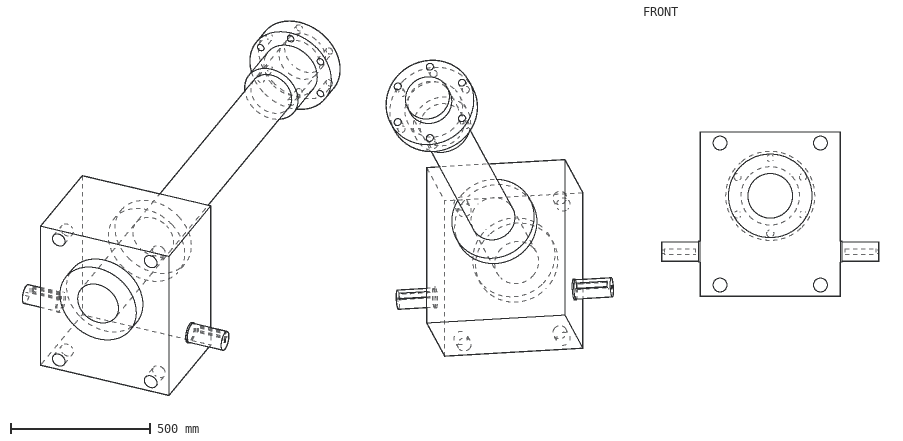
import cadquery as cq
import math


HOUSING_WIDTH = 505.0
HOUSING_DEPTH = 372.0
HOUSING_HEIGHT = 590.0
SCREW_AXIS_HEIGHT = 360.0
SHAFT_AXIS_HEIGHT = 160.0
BOSS_DIAMETER = 300.0
BOSS_LENGTH = 59.0
HOUSING_FRONT_Y = BOSS_LENGTH
HOUSING_CENTRE_Z = HOUSING_HEIGHT / 2 - SCREW_AXIS_HEIGHT

FIXING_HOLE_DIAMETER = 50.0
FIXING_HOLE_DEPTH = 74.0
FIXING_HOLE_SPACING_X = 360.0
FIXING_HOLE_SPACING_Z = 510.0
DRILL_POINT_ANGLE = 118

OVERALL_WIDTH = 780.0
SHAFT_DIAMETER = 70.0
SHAFT_AXIS_Y = HOUSING_FRONT_Y + HOUSING_DEPTH / 2
SHAFT_AXIS_Z = SHAFT_AXIS_HEIGHT - SCREW_AXIS_HEIGHT
COLLAR_DIAMETER = 75.0
COLLAR_LENGTH = 5.0
CENTRE_HOLE_DIAMETER = 11.8
CENTRE_HOLE_DEPTH = 11.0

KEY_LENGTH = 110.0
KEY_WIDTH = 20.0
KEY_HEIGHT = 13.0
KEY_PROJECTION = 5.0
KEY_END_GAP = 11.0

SCREW_DIAMETER = 160.0
SCREW_LENGTH = 1840.0

NUT_SLEEVE_DIAMETER = 210.0
NUT_SLEEVE_LENGTH = 171.0
NUT_FLANGE_DIAMETER = 320.0
NUT_FLANGE_THICKNESS = 80.0
SCREW_PROJECTION = 50.0
BOLT_CIRCLE_DIAMETER = 270.0
BOLT_HOLE_DIAMETER = 25.0
BOLT_HOLE_COUNT = 6
FIRST_BOLT_ANGLE = 30

X_AXIS = cq.Vector(1, 0, 0)
Y_AXIS = cq.Vector(0, 1, 0)
SIDES = (-1, 1)


def cylinder_along_y(diameter, start_y, length, x=0.0, z=0.0):
    solid = cq.Solid.makeCylinder(diameter / 2, length, cq.Vector(x, start_y, z), Y_AXIS)
    return cq.Workplane(obj=solid)


def shaft_cylinder(diameter, side, start_x, length):
    """Cylinder on the input shaft axis, running outwards from start_x on one side."""
    start = cq.Vector(side * start_x, SHAFT_AXIS_Y, SHAFT_AXIS_Z)
    return cq.Workplane(obj=cq.Solid.makeCylinder(diameter / 2, length, start, X_AXIS * side))


def make_fixing_hole(x, z):
    """Drilled hole with a conical bottom."""
    radius = FIXING_HOLE_DIAMETER / 2
    point_length = radius / math.tan(math.radians(DRILL_POINT_ANGLE / 2))
    bottom_y = HOUSING_FRONT_Y + FIXING_HOLE_DEPTH
    point = cq.Solid.makeCone(radius, 0, point_length, cq.Vector(x, bottom_y, z), Y_AXIS)
    return cylinder_along_y(FIXING_HOLE_DIAMETER, HOUSING_FRONT_Y, FIXING_HOLE_DEPTH, x, z).union(point)


def make_key(side):
    """Parallel key sunk into the +Y side of one shaft stub."""
    centre_x = OVERALL_WIDTH / 2 - KEY_END_GAP - KEY_LENGTH / 2
    top_y = SHAFT_AXIS_Y + SHAFT_DIAMETER / 2 + KEY_PROJECTION
    return cq.Workplane("XY").box(KEY_LENGTH, KEY_HEIGHT, KEY_WIDTH).translate(
        (side * centre_x, top_y - KEY_HEIGHT / 2, SHAFT_AXIS_Z)
    )


def add_shaft_stub(housing, side):
    """Collar and shaft stub with its end centre hole and keyway."""
    face_x = HOUSING_WIDTH / 2
    end_x = OVERALL_WIDTH / 2
    housing = housing.union(shaft_cylinder(COLLAR_DIAMETER, side, face_x, COLLAR_LENGTH))
    housing = housing.union(shaft_cylinder(SHAFT_DIAMETER, side, face_x, end_x - face_x))
    centre_hole_start = end_x - CENTRE_HOLE_DEPTH
    housing = housing.cut(shaft_cylinder(CENTRE_HOLE_DIAMETER, side, centre_hole_start, CENTRE_HOLE_DEPTH))
    return housing.cut(make_key(side))


def make_housing():
    housing = cq.Workplane("XY").box(HOUSING_WIDTH, HOUSING_DEPTH, HOUSING_HEIGHT).translate(
        (0, SHAFT_AXIS_Y, HOUSING_CENTRE_Z)
    )
    bosses_length = HOUSING_DEPTH + 2 * BOSS_LENGTH
    housing = housing.union(cylinder_along_y(BOSS_DIAMETER, 0, bosses_length))
    housing = housing.cut(cylinder_along_y(SCREW_DIAMETER, 0, bosses_length))
    for side_x in SIDES:
        for side_z in SIDES:
            hole_x = side_x * FIXING_HOLE_SPACING_X / 2
            hole_z = HOUSING_CENTRE_Z + side_z * FIXING_HOLE_SPACING_Z / 2
            housing = housing.cut(make_fixing_hole(hole_x, hole_z))
    for side in SIDES:
        housing = add_shaft_stub(housing, side)
    return housing


def make_screw():
    return cylinder_along_y(SCREW_DIAMETER, 0, SCREW_LENGTH)


def make_nut():
    nut_length = NUT_SLEEVE_LENGTH + NUT_FLANGE_THICKNESS
    nut_end_y = SCREW_LENGTH - SCREW_PROJECTION
    nut_start_y = nut_end_y - nut_length
    flange_start_y = nut_end_y - NUT_FLANGE_THICKNESS
    nut = cylinder_along_y(NUT_SLEEVE_DIAMETER, nut_start_y, nut_length)
    nut = nut.union(cylinder_along_y(NUT_FLANGE_DIAMETER, flange_start_y, NUT_FLANGE_THICKNESS))
    nut = nut.cut(cylinder_along_y(SCREW_DIAMETER, nut_start_y, nut_length))
    for index in range(BOLT_HOLE_COUNT):
        angle = math.radians(FIRST_BOLT_ANGLE + index * 360 / BOLT_HOLE_COUNT)
        hole_x = BOLT_CIRCLE_DIAMETER / 2 * math.cos(angle)
        hole_z = BOLT_CIRCLE_DIAMETER / 2 * math.sin(angle)
        nut = nut.cut(
            cylinder_along_y(BOLT_HOLE_DIAMETER, flange_start_y, NUT_FLANGE_THICKNESS, hole_x, hole_z)
        )
    return nut


housing = make_housing().solids().val()
screw = make_screw().val()
nut = make_nut().solids().val()
keys = [make_key(side).val() for side in SIDES]

result = cq.Compound.makeCompound([housing, screw, nut, *keys])